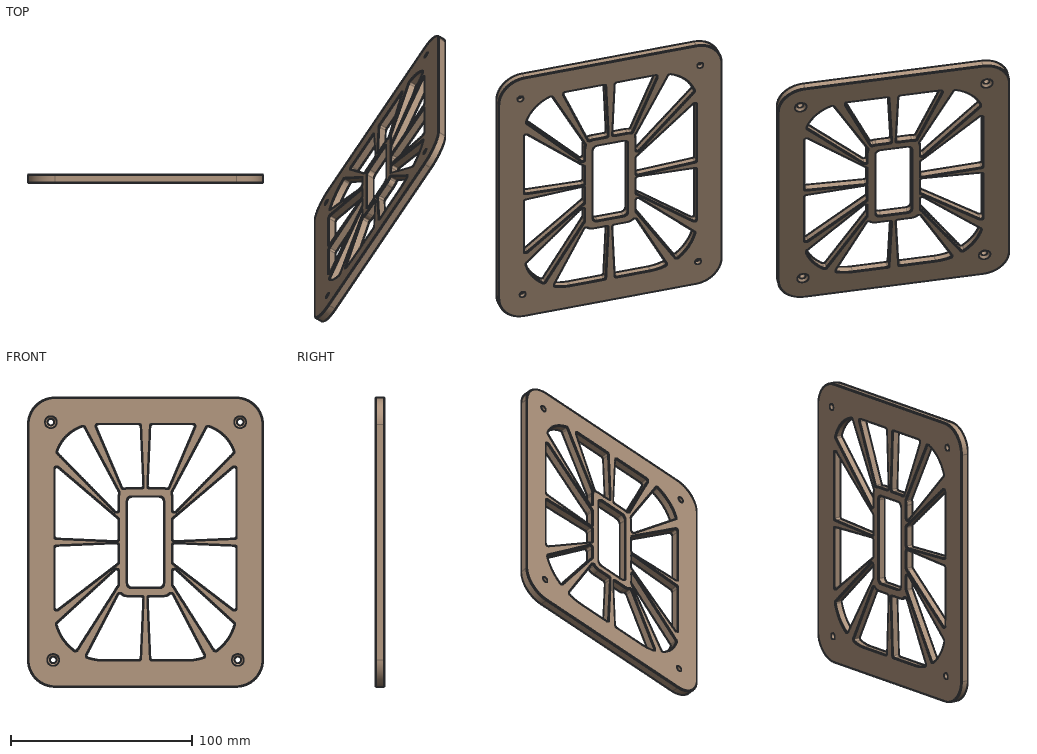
import cadquery as cq
import math

WIDTH = 130.0
HEIGHT = 160.0
THICKNESS = 5.0
OUTER_RADIUS = 15.0
EDGE_CHAMFER = 0.5

FRAME_WIDTH = 15.0
OPENING_HALF_WIDTH = WIDTH / 2 - FRAME_WIDTH
OPENING_HALF_HEIGHT = HEIGHT / 2 - FRAME_WIDTH
OPENING_TOP_RADIUS = 22.35
OPENING_BOTTOM_RADIUS = 26.7

RING_WALL = 5.0
RING_WINDOW_WIDTH = 20.0
RING_WINDOW_HEIGHT = 50.0
RING_INNER_RADIUS = 2.5
RING_OUTER_RADIUS = 5.0

SPOKE_HALF_ANGLE = 2.5
SPOKE_LENGTH = 100.0
MIRRORED_SPOKE_ANGLES = (25.55, 47.05, 90.0, 130.0, 150.0)
SPOKE_ANGLES = (0.0, 180.0) + MIRRORED_SPOKE_ANGLES + tuple(-a for a in MIRRORED_SPOKE_ANGLES)
OPENING_CORNER_RADIUS = 1.0

UPPER_HOLE_X = 52.25
UPPER_HOLE_Z = 66.3
LOWER_HOLE_X = 51.0
LOWER_HOLE_Z = -65.0
HOLE_DIAMETER = 3.5
SINK_DIAMETER = 6.6
SINK_ANGLE = 90.0


def front_plane():
    """Workplane on the front face: local x is +X, local y is +Z, normal is -Y."""
    return cq.Workplane("XZ", origin=(0, -THICKNESS / 2, 0))


def rounded_block(width, height, radius):
    """Plate-thick rectangular block with four equal rounded corners."""
    return (
        front_plane()
        .rect(width, height)
        .extrude(-THICKNESS)
        .edges("|Y")
        .fillet(radius)
    )


def opening_block():
    """Solid that fills the large opening."""
    block = front_plane().rect(2 * OPENING_HALF_WIDTH, 2 * OPENING_HALF_HEIGHT).extrude(-THICKNESS)
    block = block.edges("|Y and >Z").fillet(OPENING_TOP_RADIUS)
    return block.edges("|Y and <Z").fillet(OPENING_BOTTOM_RADIUS)


def spoke(angle):
    """Wedge with its tip at the plate centre, pointing at the given angle from +Z."""
    corners = [(0, 0)]
    for side in (-SPOKE_HALF_ANGLE, SPOKE_HALF_ANGLE):
        direction = math.radians(angle + side)
        corners.append((SPOKE_LENGTH * math.sin(direction), SPOKE_LENGTH * math.cos(direction)))
    return front_plane().polyline(corners).close().extrude(-THICKNESS)


def spoke_openings():
    """Solids of the openings left between ring, spokes and frame, with rounded corners."""
    openings = opening_block().cut(
        rounded_block(
            RING_WINDOW_WIDTH + 2 * RING_WALL,
            RING_WINDOW_HEIGHT + 2 * RING_WALL,
            RING_OUTER_RADIUS,
        )
    )
    for angle in SPOKE_ANGLES:
        openings = openings.cut(spoke(angle))
    outlines = openings.faces("<Y").wires().vals()
    rounded = front_plane()
    for outline in outlines:
        for shrunk in outline.offset2D(-OPENING_CORNER_RADIUS):
            rounded = rounded.add(shrunk.offset2D(OPENING_CORNER_RADIUS))
    return rounded.toPending().extrude(-THICKNESS)


def drill_screw_holes(plate):
    """Countersink the four screw holes from the front face."""
    points = []
    for side in (-1, 1):
        points.append((side * UPPER_HOLE_X, UPPER_HOLE_Z))
        points.append((side * LOWER_HOLE_X, LOWER_HOLE_Z))
    return (
        plate.faces("<Y")
        .workplane(origin=(0, -THICKNESS / 2, 0))
        .pushPoints(points)
        .cskHole(HOLE_DIAMETER, SINK_DIAMETER, SINK_ANGLE)
    )


plate = rounded_block(WIDTH, HEIGHT, OUTER_RADIUS)
plate = plate.cut(rounded_block(RING_WINDOW_WIDTH, RING_WINDOW_HEIGHT, RING_INNER_RADIUS))
plate = plate.cut(spoke_openings())
plate = plate.faces("<Y or >Y").edges().chamfer(EDGE_CHAMFER)
result = drill_screw_holes(plate)